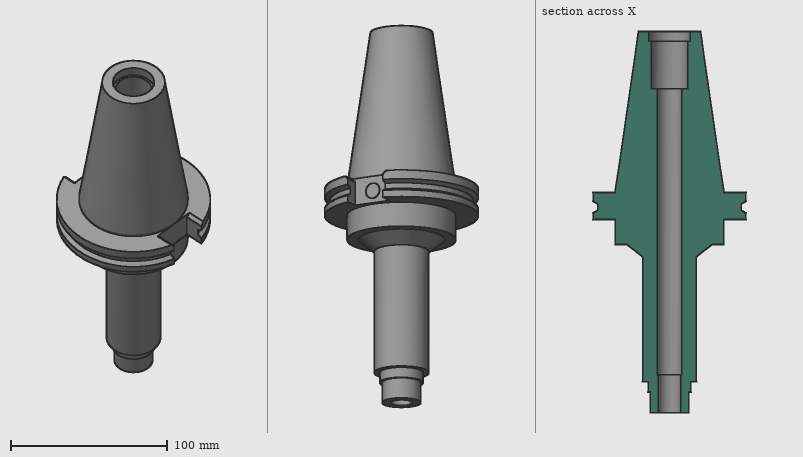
import cadquery as cq

total_height = 244.2
nose_top = 13.2
step_top = 19.8
shank_top = 99.9
collar_bottom = 107.7
flange_bottom = 123.5
flange_top = 141.1
gauge_line = 142.5

nose_diameter = 25.0
step_diameter = 27.8
shank_diameter = 35.0
shoulder_diameter = 55.2
gauge_diameter = 69.8
flange_diameter = 98.5
taper_ratio = 7 / 24
taper_end_diameter = gauge_diameter - (total_height - gauge_line) * taper_ratio

groove_height = 131.6
groove_floor_diameter = 92.0
groove_floor_width = 3.7
groove_mouth_width = 7.3

slot_width = 25.5
slot_chamfer = 2.32
left_slot_floor = 37.9
right_slot_floor = gauge_diameter / 2

recess_diameter = 10.0
recess_depth = 0.2

through_diameter = 14.0
bore_steps = [(26.4, 6.3), (23.2, 36.6), (15.6, 219.8)]


def turned_body():
    mouth_half = groove_mouth_width / 2
    floor_half = groove_floor_width / 2
    outline = [
        (0, 0),
        (nose_diameter / 2, 0),
        (nose_diameter / 2, nose_top),
        (step_diameter / 2, nose_top),
        (step_diameter / 2, step_top),
        (shank_diameter / 2, step_top),
        (shank_diameter / 2, shank_top),
        (shoulder_diameter / 2, collar_bottom),
        (gauge_diameter / 2, collar_bottom),
        (gauge_diameter / 2, flange_bottom),
        (flange_diameter / 2, flange_bottom),
        (flange_diameter / 2, groove_height - mouth_half),
        (groove_floor_diameter / 2, groove_height - floor_half),
        (groove_floor_diameter / 2, groove_height + floor_half),
        (flange_diameter / 2, groove_height + mouth_half),
        (flange_diameter / 2, flange_top),
        (gauge_diameter / 2, flange_top),
        (gauge_diameter / 2, gauge_line),
        (taper_end_diameter / 2, total_height),
        (0, total_height),
    ]
    return cq.Workplane("XZ").polyline(outline).close().revolve(360, (0, 0), (0, 1))


def drive_slot(floor_distance, side):
    """Slot cutter with chamfered top edges; side is +1 for +X and -1 for -X."""
    half = slot_width / 2
    outline = [
        (-half, flange_bottom),
        (half, flange_bottom),
        (half, flange_top - slot_chamfer),
        (half + slot_chamfer, flange_top),
        (-half - slot_chamfer, flange_top),
        (-half, flange_top - slot_chamfer),
    ]
    cutter = cq.Workplane("YZ").polyline(outline).close().extrude(side * flange_diameter / 2)
    return cutter.cut(cq.Workplane("YZ").polyline(outline).close().extrude(side * floor_distance))


def slot_recess():
    plane = cq.Workplane("YZ", origin=(-left_slot_floor, 0, groove_height))
    return plane.circle(recess_diameter / 2).extrude(recess_depth)


def stepped_bore():
    bore = cq.Workplane("XY").circle(through_diameter / 2).extrude(total_height)
    for diameter, depth in bore_steps:
        step = cq.Workplane("XY", origin=(0, 0, total_height - depth)).circle(diameter / 2).extrude(depth)
        bore = bore.union(step)
    return bore


result = (
    turned_body()
    .cut(drive_slot(left_slot_floor, -1))
    .cut(drive_slot(right_slot_floor, 1))
    .cut(slot_recess())
    .cut(stepped_bore())
)